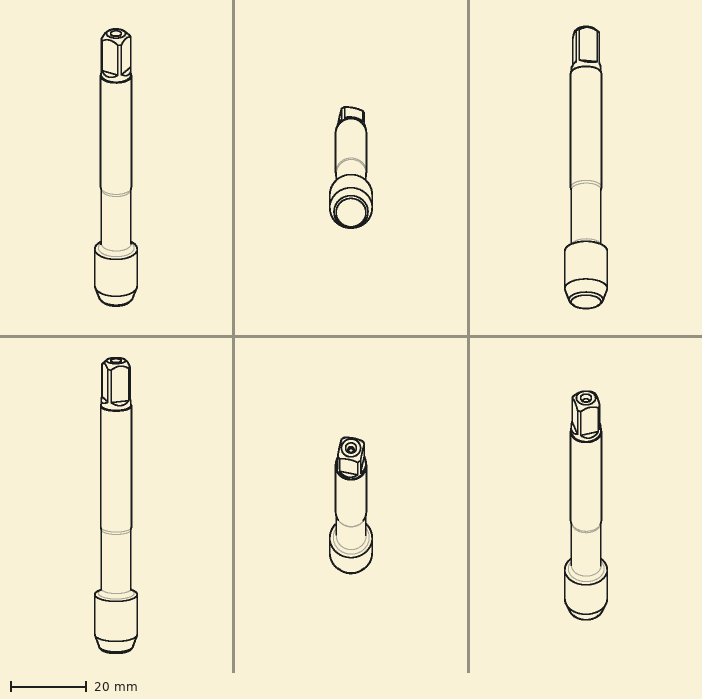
import cadquery as cq
import math

total_length = 80.3

head_diameter = 11.2
head_top = 15.1
lead_top = 3.9
lead_end_diameter = 9.0
tip_chamfer_top = 0.65
tip_diameter = 7.9

neck_diameter = 7.9
collar_angle = math.radians(25)
collar_small_diameter = 9.5
neck_end = 33.2

shank_diameter = 8.2
shank_start = 33.95
shank_end = 67.6

drive_width = 6.2
flat_count = 4
drive_diameter = 7.9
shank_chamfer = (shank_diameter - drive_diameter) / 2
drive_bottom = 69.8
drive_top_diameter = 5.05
center_drill_diameter = 1.6
center_mouth_diameter = 2.9
center_mouth_angle = math.radians(60)
center_drill_depth = 2.4
drill_point_angle = math.radians(118)


def make_head():
    """Solid of revolution with a tapered lead and a chamfered tip."""
    return (
        cq.Workplane("XZ")
        .moveTo(0, 0)
        .lineTo(tip_diameter / 2, 0)
        .lineTo(lead_end_diameter / 2, tip_chamfer_top)
        .lineTo(head_diameter / 2, lead_top)
        .lineTo(head_diameter / 2, head_top)
        .lineTo(0, head_top)
        .close()
        .revolve(360, (0, 0, 0), (0, 1, 0))
    )


def make_shank_blank():
    """Round shank with its collar, neck and chamfered drive end."""
    neck_radius = neck_diameter / 2
    collar_radius = collar_small_diameter / 2
    collar_top = head_top + (head_diameter / 2 - collar_radius) * math.tan(collar_angle)
    fillet_radius = (collar_radius - neck_radius) / (1 - math.sin(collar_angle))
    fillet_top = collar_top + fillet_radius * math.cos(collar_angle)
    middle_angle = (math.pi / 2 - collar_angle) / 2
    fillet_middle = (
        neck_radius + fillet_radius * (1 - math.cos(middle_angle)),
        fillet_top - fillet_radius * math.sin(middle_angle),
    )
    drive_chamfer = (drive_diameter - drive_top_diameter) / 2
    return (
        cq.Workplane("XZ")
        .moveTo(0, head_top)
        .lineTo(head_diameter / 2, head_top)
        .lineTo(collar_radius, collar_top)
        .threePointArc(fillet_middle, (neck_radius, fillet_top))
        .lineTo(neck_radius, neck_end)
        .lineTo(shank_diameter / 2, shank_start)
        .lineTo(shank_diameter / 2, shank_end)
        .lineTo(drive_diameter / 2, shank_end + shank_chamfer)
        .lineTo(drive_diameter / 2, total_length - drive_chamfer)
        .lineTo(drive_top_diameter / 2, total_length)
        .lineTo(0, total_length)
        .close()
        .revolve(360, (0, 0, 0), (0, 1, 0))
    )


def make_flat_cutter():
    """Tool that mills one flat on the +X side, ending in a 45 degree run-out."""
    flat = drive_width / 2
    outside = shank_diameter
    return (
        cq.Workplane("XZ")
        .moveTo(flat, drive_bottom)
        .lineTo(flat, total_length)
        .lineTo(outside, total_length)
        .lineTo(outside, drive_bottom - (outside - flat))
        .close()
        .extrude(shank_diameter / 2, both=True)
    )


def make_center_hole():
    """Countersunk center hole with a conical bottom in the drive end."""
    drill_radius = center_drill_diameter / 2
    mouth_radius = center_mouth_diameter / 2
    mouth_depth = (mouth_radius - drill_radius) / math.tan(center_mouth_angle / 2)
    drill_bottom = total_length - center_drill_depth
    point_depth = drill_radius / math.tan(drill_point_angle / 2)
    return (
        cq.Workplane("XZ")
        .moveTo(0, total_length)
        .lineTo(mouth_radius, total_length)
        .lineTo(drill_radius, total_length - mouth_depth)
        .lineTo(drill_radius, drill_bottom)
        .lineTo(0, drill_bottom - point_depth)
        .close()
        .revolve(360, (0, 0, 0), (0, 1, 0))
    )


def make_shank():
    """Shank with four drive flats and the center hole."""
    body = make_shank_blank()
    for index in range(flat_count):
        angle = 360 / flat_count * index
        body = body.cut(make_flat_cutter().rotate((0, 0, 0), (0, 0, 1), angle))
    return body.cut(make_center_hole())


head = make_head()
shank = make_shank()

result = cq.Compound.makeCompound([head.val(), shank.val()])